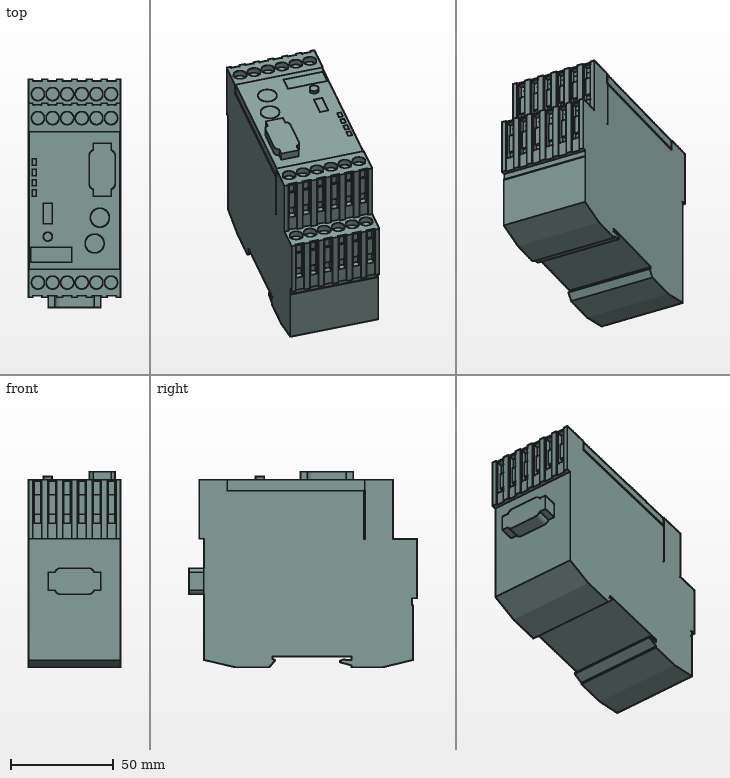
import cadquery as cq


WIDTH = 44.8
HEIGHT = 91.4
BACK_Y = 101.9
RELIEF_Z = 30.2
RELIEF_DEPTH = 0.5
FOOT_RISE = 3.6
FOOT_FRONT_Y = 15.2
FOOT_BACK_Y = 87.2
TERMINAL_GAP = 0.3

RAIL_TOP_Z = 5.2
RAIL_FRONT_Y = 33.5
RAIL_BACK_Y = 71.8
LIP_OVERHANG = 1.3
LIP_TIP_Z = 3.5
LIP_TOP_Z = 4.1
LIP_FOOT_Y = 31.8
CLAW_LENGTH = 5.7
CLAW_ROOT_Z = 0.9
CLAW_TIP_Z = 2.5
CLAW_TIP_HEIGHT = 0.8
CLAW_TOP_Z = 3.7
CLAW_BARB_Z = 4.0
CLAW_BARB_SETBACK = 2.1
CLAW_BARB_RUN = 1.1

BLOCK_HEIGHT = 28.9
UPPER_BLOCK_DEPTH = 13.8
LOWER_BLOCK_DEPTH = 16.1
FRONT_BLOCK_Y = -2.3
UPPER_BLOCK_Y = 92.2
LOWER_BLOCK_Y = 103.9
POLES = 6
GROOVE_PITCH = 7.2
GROOVE_WIDTH = 4.3
GROOVE_DEPTH = 0.8
WINDOW_WIDTH = 3.2
WINDOW_DEPTH = 2.8
WINDOW_TOP = 0.9
WINDOW_HEIGHT = 20.3
CLAMP_TOP = 7.3
CLAMP_HEIGHT = 9.6
CLAMP_SETBACK = 1.8
SCREW_PITCH = 7.1
SCREW_DIAMETER = 6.3
SCREW_DEPTH = 3.1
SCREW_INSET = 7.2

PLUG_LENGTH = 25.8
PLUG_END_WIDTH = 8.9
PLUG_SHOULDER_LENGTH = 19.0
PLUG_FLAT_LENGTH = 13.6
PLUG_WIDTH = 12.7
FRONT_PLUG_HEIGHT = 7.3
FRONT_PLUG_Z = 41.9
TOP_PLUG_HEIGHT = 3.9
TOP_PLUG_X = 13.5
TOP_PLUG_Y = 59.8

COVER_THICKNESS = 5.3
COVER_INSET = 0.3
MARK_DEPTH = 0.06
LED_X = -19.6
LED_FIRST_Y = 63.5
LED_PITCH = 5.0
LED_COUNT = 4
LED_SIZE = (2.0, 3.1)
SWITCH_SIZE = (4.2, 10.0)
CONTROL_X = -13.0
SWITCH_Y = 38.6
BUTTON_Y = 27.2
BUTTON_DIAMETER = 4.3
BUTTON_HEIGHT = 1.6
LABEL_SIZE = (20.0, 7.3)
LABEL_CENTER = (-11.3, 18.3)
DIAL_DIAMETER = 9.2
DIAL_CENTERS = [(12.3, 36.5), (9.8, 23.9)]

UPPER_BLOCK_Z = HEIGHT - BLOCK_HEIGHT
LOWER_BLOCK_Z = UPPER_BLOCK_Z - BLOCK_HEIGHT
COVER_Z = HEIGHT - COVER_THICKNESS
COVER_FRONT_Y = FRONT_BLOCK_Y + UPPER_BLOCK_DEPTH
COVER_BACK_Y = UPPER_BLOCK_Y - UPPER_BLOCK_DEPTH


def box(x_size, y_range, z_range):
    """Box centred on X = 0."""
    y_size = y_range[1] - y_range[0]
    z_size = z_range[1] - z_range[0]
    block = cq.Workplane("XY").box(x_size, y_size, z_size, centered=(True, False, False))
    return block.translate((0, y_range[0], z_range[0]))


def row_positions(pitch):
    """X positions of one row of poles, centred on the module."""
    return [(pole - (POLES - 1) / 2) * pitch for pole in range(POLES)]


def plug(height):
    """Connector plug standing on the XY plane, long side along X."""
    end_x, end_y = PLUG_LENGTH / 2, PLUG_END_WIDTH / 2
    shoulder_x = PLUG_SHOULDER_LENGTH / 2
    flat_x, flat_y = PLUG_FLAT_LENGTH / 2, PLUG_WIDTH / 2
    run, rise = shoulder_x - flat_x, flat_y - end_y
    radius = (run**2 + rise**2) / (2 * rise)
    outline = (
        cq.Workplane("XY")
        .moveTo(-end_x, -end_y)
        .lineTo(-shoulder_x, -end_y)
        .radiusArc((-flat_x, -flat_y), -radius)
        .lineTo(flat_x, -flat_y)
        .radiusArc((shoulder_x, -end_y), -radius)
        .lineTo(end_x, -end_y)
        .lineTo(end_x, end_y)
        .lineTo(shoulder_x, end_y)
        .radiusArc((flat_x, flat_y), -radius)
        .lineTo(-flat_x, flat_y)
        .radiusArc((-shoulder_x, end_y), -radius)
        .lineTo(-end_x, end_y)
        .close()
    )
    return outline.extrude(height)


def terminal_block(depth):
    """Terminal block with its outer face at Y = 0 facing -Y and its bottom at Z = 0."""
    block = box(WIDTH, (0, depth), (0, BLOCK_HEIGHT))
    window_top = BLOCK_HEIGHT - WINDOW_TOP
    window_back = GROOVE_DEPTH + WINDOW_DEPTH
    clamp_top = BLOCK_HEIGHT - CLAMP_TOP
    groove = box(GROOVE_WIDTH, (0, GROOVE_DEPTH), (0, BLOCK_HEIGHT))
    window = box(WINDOW_WIDTH, (0, window_back), (window_top - WINDOW_HEIGHT, window_top))
    clamp = box(
        WINDOW_WIDTH,
        (GROOVE_DEPTH + CLAMP_SETBACK, window_back),
        (clamp_top - CLAMP_HEIGHT, clamp_top),
    )
    pole_cut = groove.union(window.cut(clamp))
    for x in row_positions(GROOVE_PITCH):
        block = block.cut(pole_cut.translate((x, 0, 0)))
    screw_holes = (
        cq.Workplane("XY", origin=(0, 0, BLOCK_HEIGHT))
        .pushPoints([(x, SCREW_INSET) for x in row_positions(SCREW_PITCH)])
        .circle(SCREW_DIAMETER / 2)
        .extrude(-SCREW_DEPTH)
    )
    return block.cut(screw_holes)


def housing_core():
    """Side profile of the housing with the rail seat, extruded across the width."""
    relief_y = BACK_Y - RELIEF_DEPTH
    slit_y = COVER_BACK_Y - TERMINAL_GAP
    profile = [
        (0, FOOT_RISE),
        (FOOT_FRONT_Y, 0),
        (LIP_FOOT_Y, 0),
        (RAIL_FRONT_Y + LIP_OVERHANG, LIP_TIP_Z),
        (RAIL_FRONT_Y, LIP_TOP_Z),
        (RAIL_FRONT_Y, RAIL_TOP_Z),
        (RAIL_BACK_Y, RAIL_TOP_Z),
        (RAIL_BACK_Y, 0),
        (FOOT_BACK_Y, 0),
        (BACK_Y, FOOT_RISE),
        (BACK_Y, RELIEF_Z),
        (relief_y, RELIEF_Z),
        (relief_y, UPPER_BLOCK_Z),
        (slit_y, UPPER_BLOCK_Z),
        (slit_y, COVER_Z),
        (COVER_FRONT_Y, COVER_Z),
        (COVER_FRONT_Y, UPPER_BLOCK_Z),
        (0, UPPER_BLOCK_Z),
    ]
    core = cq.Workplane("YZ").polyline(profile).close().extrude(WIDTH / 2, both=True)
    return core.union(rail_claw())


def rail_claw():
    """Barbed claw that reaches into the rail seat from the back."""
    tip_y = RAIL_BACK_Y - CLAW_LENGTH
    barb_y = tip_y + CLAW_BARB_SETBACK
    profile = [
        (RAIL_BACK_Y, CLAW_ROOT_Z),
        (tip_y, CLAW_TIP_Z),
        (tip_y, CLAW_TIP_Z + CLAW_TIP_HEIGHT),
        (barb_y, CLAW_BARB_Z),
        (barb_y + CLAW_BARB_RUN, CLAW_TOP_Z),
        (RAIL_BACK_Y, CLAW_TOP_Z),
    ]
    return cq.Workplane("YZ").polyline(profile).close().extrude(WIDTH / 2, both=True)


def make_housing():
    """Housing in one piece with its three terminal blocks and the front plug."""
    front_block = terminal_block(UPPER_BLOCK_DEPTH).translate((0, FRONT_BLOCK_Y, UPPER_BLOCK_Z))
    turned = (0, 0, 0), (0, 0, 1), 180
    upper_block = terminal_block(UPPER_BLOCK_DEPTH).rotate(*turned)
    upper_block = upper_block.translate((0, UPPER_BLOCK_Y, UPPER_BLOCK_Z))
    lower_block = terminal_block(LOWER_BLOCK_DEPTH).rotate(*turned)
    lower_block = lower_block.translate((0, LOWER_BLOCK_Y, LOWER_BLOCK_Z))
    lower_seat = box(
        WIDTH,
        (LOWER_BLOCK_Y - LOWER_BLOCK_DEPTH, LOWER_BLOCK_Y),
        (LOWER_BLOCK_Z, UPPER_BLOCK_Z),
    )
    front_plug = plug(FRONT_PLUG_HEIGHT).rotate((0, 0, 0), (1, 0, 0), 90)
    front_plug = front_plug.translate((0, 0, FRONT_PLUG_Z))
    housing = housing_core().cut(lower_seat).union(front_plug)
    for block in (lower_block, upper_block, front_block):
        housing = housing.union(block, clean=False)
    return housing


def make_cover():
    """Cover plate between the upper terminal blocks, with its plug and button."""
    cover = box(WIDTH - 2 * COVER_INSET, (COVER_FRONT_Y, COVER_BACK_Y), (COVER_Z, HEIGHT))
    top = cq.Workplane("XY", origin=(0, 0, HEIGHT))
    led_points = [(LED_X, LED_FIRST_Y - i * LED_PITCH) for i in range(LED_COUNT)]
    marks = (
        top.pushPoints(led_points)
        .rect(*LED_SIZE)
        .pushPoints([(CONTROL_X, SWITCH_Y)])
        .rect(*SWITCH_SIZE)
        .pushPoints([LABEL_CENTER])
        .rect(*LABEL_SIZE)
        .pushPoints(DIAL_CENTERS)
        .circle(DIAL_DIAMETER / 2)
        .extrude(-MARK_DEPTH)
    )
    cover = cover.cut(marks)
    button = cq.Workplane("XY").circle(BUTTON_DIAMETER / 2).extrude(BUTTON_HEIGHT)
    button = button.translate((CONTROL_X, BUTTON_Y, HEIGHT))
    top_plug = plug(TOP_PLUG_HEIGHT).rotate((0, 0, 0), (0, 0, 1), 90)
    top_plug = top_plug.translate((TOP_PLUG_X, TOP_PLUG_Y, HEIGHT))
    return cover.union(button).union(top_plug)


housing = make_housing()
cover = make_cover()

result = cq.Compound.makeCompound([housing.solids().val(), cover.solids().val()])